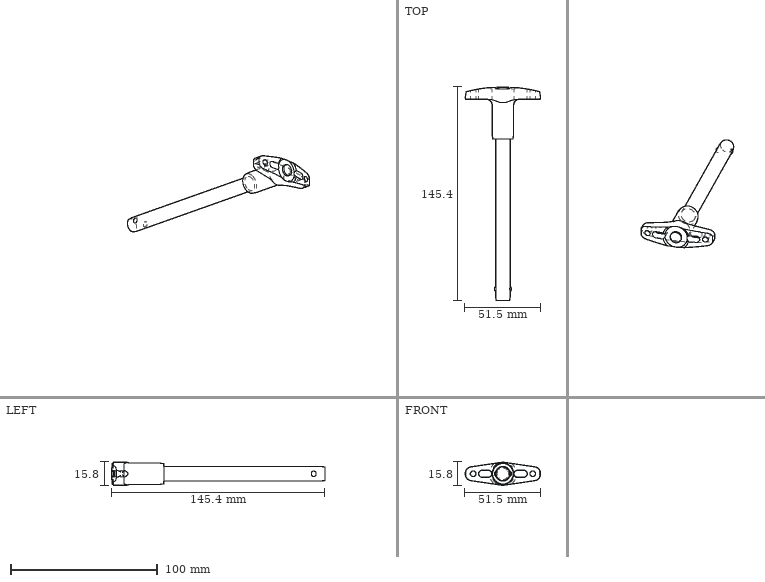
import cadquery as cq
import math


total_length = 145.4
button_top_y = 35.5
tip_y = button_top_y - total_length

shank_radius = 5.0
tip_radius = 4.65
tip_taper_length = 2.3

ball_radius = 2.0
ball_reach = 5.9
ball_to_tip = 7.8

body_radius = 7.35
end_ring_radius = 7.0
end_ring_length = 1.0
body_taper_length = 1.5

handle_span = 51.5
handle_depth = 15.79
half_span = handle_span / 2
handle_half_depth = handle_depth / 2
waist_half_width = 1.1
waist_crown = 0.08
tip_tangent_x = 21.6
tip_tangent_z = 4.8
tip_nose_height = 1.3
tip_upper_setback = 0.65
tip_lower_setback = 0.35
underside_y = 27.1
crown_above_button = 0.15
dome_crown_y = button_top_y + crown_above_button
dome_end_drop = 3.5
root_fillet_radius = 4.2

button_radius = 3.9
recess_rim_radius = 9.5
recess_floor_radius = handle_half_depth
recess_depth = 1.3

slot_width = 4.6
slot_inner_x = 7.6
slot_outer_x = 16.5
ring_hole_x = 20.3
ring_hole_diameter = 3.7


def revolve_about_pin_axis(profile):
    """Turn a closed profile, drawn as (radius, Y), about the Y axis."""
    return profile.close().revolve(360, (0, 0, 0), (0, 1, 0))


def plan_prism(y_low, y_high):
    """Handle seen along the pin axis: tapered sides, crowned waist and round ends."""
    waist_z = handle_half_depth - waist_crown
    return (
        cq.Workplane("XZ", origin=(0, y_high, 0))
        .moveTo(-waist_half_width, waist_z)
        .threePointArc((0, handle_half_depth), (waist_half_width, waist_z))
        .lineTo(tip_tangent_x, tip_tangent_z)
        .threePointArc((half_span, 0), (tip_tangent_x, -tip_tangent_z))
        .lineTo(waist_half_width, -waist_z)
        .threePointArc((0, -handle_half_depth), (-waist_half_width, -waist_z))
        .lineTo(-tip_tangent_x, -tip_tangent_z)
        .threePointArc((-half_span, 0), (-tip_tangent_x, tip_tangent_z))
        .close()
        .extrude(y_high - y_low)
    )


def nose_prism(y_low):
    """Handle seen along Z: each end has a blunt nose formed by two sloping planes."""
    nose_y = underside_y + tip_nose_height
    dome_end_y = dome_crown_y - dome_end_drop
    upper_slope = tip_upper_setback / (dome_end_y - nose_y)
    upper_x = half_span - upper_slope * (dome_crown_y - nose_y)
    lower_slope = tip_lower_setback / tip_nose_height
    lower_x = half_span - lower_slope * (nose_y - y_low)
    return (
        cq.Workplane("XY")
        .moveTo(lower_x, y_low)
        .lineTo(half_span, nose_y)
        .lineTo(upper_x, dome_crown_y)
        .lineTo(-upper_x, dome_crown_y)
        .lineTo(-half_span, nose_y)
        .lineTo(-lower_x, y_low)
        .close()
        .extrude(half_span, both=True)
    )


def make_handle():
    """Domed crossbar that flares into the grip body through a concave root fillet."""
    fillet_end_y = underside_y - root_fillet_radius
    fillet_middle = root_fillet_radius * (1 - math.sqrt(0.5))
    dome_radius = (half_span**2 + dome_end_drop**2) / (2 * dome_end_drop)
    dome_middle_drop = dome_radius - math.sqrt(dome_radius**2 - (half_span / 2) ** 2)
    turned_blank = revolve_about_pin_axis(
        cq.Workplane("XY")
        .moveTo(0, fillet_end_y)
        .lineTo(body_radius, fillet_end_y)
        .threePointArc(
            (body_radius + fillet_middle, underside_y - fillet_middle),
            (body_radius + root_fillet_radius, underside_y),
        )
        .lineTo(half_span, underside_y)
        .lineTo(half_span, dome_crown_y - dome_end_drop)
        .threePointArc((half_span / 2, dome_crown_y - dome_middle_drop), (0, dome_crown_y))
    )
    crossbar = plan_prism(fillet_end_y, dome_crown_y).intersect(nose_prism(fillet_end_y))
    return crossbar.intersect(turned_blank)


def make_button_recess():
    """Conical recess in the back of the handle, leaving the button standing."""
    floor_y = button_top_y - recess_depth
    wall_slope = (recess_rim_radius - recess_floor_radius) / recess_depth
    top_y = dome_crown_y
    return revolve_about_pin_axis(
        cq.Workplane("XY")
        .moveTo(button_radius, floor_y)
        .lineTo(recess_floor_radius, floor_y)
        .lineTo(recess_floor_radius + wall_slope * (top_y - floor_y), top_y)
        .lineTo(0, top_y)
        .lineTo(0, button_top_y)
        .lineTo(button_radius, button_top_y)
    )


def make_handle_openings():
    """One slot and one ring hole on each side of the pin axis."""
    slot_centre = (slot_inner_x + slot_outer_x) / 2
    slot_length = slot_outer_x - slot_inner_x
    return (
        cq.Workplane("XZ", origin=(0, dome_crown_y, 0))
        .pushPoints([(-slot_centre, 0), (slot_centre, 0)])
        .slot2D(slot_length, slot_width)
        .pushPoints([(-ring_hole_x, 0), (ring_hole_x, 0)])
        .circle(ring_hole_diameter / 2)
        .extrude(dome_crown_y)
    )


def make_turned_parts():
    """Grip body and shank as one turned piece."""
    return revolve_about_pin_axis(
        cq.Workplane("XY")
        .moveTo(0, tip_y)
        .lineTo(tip_radius, tip_y)
        .lineTo(shank_radius, tip_y + tip_taper_length)
        .lineTo(shank_radius, 0)
        .lineTo(end_ring_radius, 0)
        .lineTo(end_ring_radius, end_ring_length)
        .lineTo(body_radius, end_ring_length + body_taper_length)
        .lineTo(body_radius, underside_y)
        .lineTo(0, underside_y)
    )


def make_locking_balls():
    """Pair of balls standing out of the shank near its tip."""
    ball_x = ball_reach - ball_radius
    ball_y = tip_y + ball_to_tip
    return cq.Workplane("XY").pushPoints([(-ball_x, ball_y), (ball_x, ball_y)]).sphere(ball_radius)


handle = make_handle().cut(make_button_recess())
result = handle.cut(make_handle_openings()).union(make_turned_parts()).union(make_locking_balls())